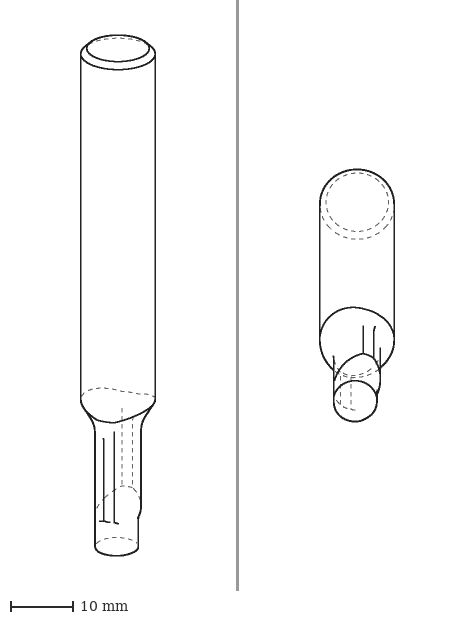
import cadquery as cq
import math

length = 88.1
shank_diameter = 12.0
top_chamfer = 1.0

neck_width = 7.3
neck_end_diameter = 8.9
cap_width = 1.85
neck_top = 20.1
neck_fillet = 6.3

tip_radius = 3.5
tip_center_y = -0.7
tip_top = 5.0
tip_fillet = 2.2

flare_angle = math.radians(30)

neck_half_width = neck_width / 2
neck_end_radius = neck_end_diameter / 2
cap_half_width = cap_width / 2

corner_y = math.sqrt(neck_end_radius**2 - cap_half_width**2)
side_rise = neck_half_width - cap_half_width
side_radius = (corner_y**2 + side_rise**2) / (2 * side_rise)
side_center_x = side_radius - neck_half_width


def flared_round(center, radius, straight_height, fillet):
    """Upright cylinder that widens above straight_height, up to the full length."""

    def arc_point(angle):
        return (
            radius + fillet * (1 - math.cos(angle)),
            straight_height + fillet * math.sin(angle),
        )

    cone_start = arc_point(flare_angle)
    cone_end_radius = cone_start[0] + (length - cone_start[1]) * math.tan(flare_angle)
    profile = (
        cq.Workplane("XZ")
        .lineTo(radius, 0)
        .lineTo(radius, straight_height)
        .threePointArc(arc_point(flare_angle / 2), cone_start)
        .lineTo(cone_end_radius, length)
        .lineTo(0, length)
        .close()
    )
    return profile.revolve(360, (0, 0, 0), (0, 1, 0)).translate((center[0], center[1], 0))


result = cq.Workplane("XY").circle(shank_diameter / 2).extrude(length)
result = result.faces(">Z").chamfer(top_chamfer)

for side in (-1, 1):
    side_center = (side * side_center_x, 0)
    result = result.intersect(flared_round(side_center, side_radius, neck_top, neck_fillet))
result = result.intersect(flared_round((0, 0), neck_end_radius, neck_top, neck_fillet))

result = result.intersect(flared_round((0, tip_center_y), tip_radius, tip_top, tip_fillet))